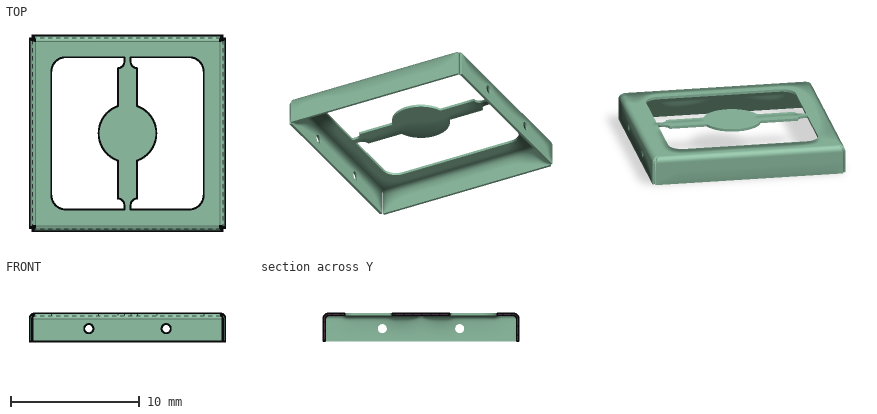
import cadquery as cq
import math

side = 15.2
height = 2.2
sheet = 0.2
bend_radius = 0.44
flap_inset = 0.23

opening = 11.8
opening_corner_radius = 1.11

pad_diameter = 4.5
arm_width = 1.5
neck_width = 0.5
neck_length = 0.84

hole_diameter = 0.7
hole_spacing = 6.0
hole_height = 1.0

half_side = side / 2
plate_side = side - 2 * bend_radius
half_plate = plate_side / 2
bend_start = height - bend_radius
plate_bottom = height - sheet
arc_45 = math.sqrt(0.5)


def make_plate():
    """Flat top with its rounded square opening."""
    plate = cq.Workplane("XY").workplane(offset=plate_bottom).rect(plate_side, plate_side).extrude(sheet)
    window = (
        cq.Workplane("XY").rect(opening, opening).extrude(height)
        .edges("|Z").fillet(opening_corner_radius)
    )
    return plate.cut(window)


def make_flap():
    """Front flap: a bent strip whose ends taper towards the plate corners along the fold."""
    inner_radius = bend_radius - sheet
    inner_face = -half_side + sheet
    strip = (
        cq.Workplane("YZ")
        .moveTo(-half_side, 0)
        .lineTo(-half_side, bend_start)
        .threePointArc(
            (-half_plate - bend_radius * arc_45, bend_start + bend_radius * arc_45),
            (-half_plate, height),
        )
        .lineTo(-half_plate, plate_bottom)
        .threePointArc(
            (-half_plate - inner_radius * arc_45, bend_start + inner_radius * arc_45),
            (inner_face, bend_start),
        )
        .lineTo(inner_face, 0)
        .close()
        .extrude(half_side, both=True)
    )
    half_flap = half_side - flap_inset
    half_mid_fold = (half_flap + half_plate) / 2
    mid_fold_height = bend_start + bend_radius * arc_45
    outline = (
        cq.Workplane("XZ")
        .moveTo(-half_flap, 0)
        .lineTo(half_flap, 0)
        .lineTo(half_flap, bend_start)
        .threePointArc((half_mid_fold, mid_fold_height), (half_plate, height))
        .lineTo(-half_plate, height)
        .threePointArc((-half_mid_fold, mid_fold_height), (-half_flap, bend_start))
        .close()
        .extrude(side, both=True)
    )
    return strip.intersect(outline)


def make_pad():
    """Round pad and two arms; each neck flares into its arm through quarter-round notches."""
    half_opening = opening / 2
    notch_radius = (arm_width - neck_width) / 2
    base = cq.Workplane("XY").workplane(offset=plate_bottom)
    pad = base.circle(pad_diameter / 2).extrude(sheet)
    pad = pad.union(base.rect(arm_width, opening).extrude(sheet))
    notch_end = half_opening - neck_length
    notch_center = notch_end + notch_radius
    for x_sign in (-1, 1):
        for y_sign in (-1, 1):
            notch = (
                base.moveTo(x_sign * arm_width / 2, y_sign * half_opening)
                .lineTo(x_sign * neck_width / 2, y_sign * half_opening)
                .lineTo(x_sign * neck_width / 2, y_sign * notch_center)
                .threePointArc(
                    (
                        x_sign * (arm_width / 2 - notch_radius * arc_45),
                        y_sign * (notch_center - notch_radius * arc_45),
                    ),
                    (x_sign * arm_width / 2, y_sign * notch_end),
                )
                .close()
                .extrude(sheet)
            )
            pad = pad.cut(notch)
    return pad


def make_pin_holes():
    """Pair of drill cylinders running through both the front and back flaps."""
    return (
        cq.Workplane("XZ")
        .pushPoints([(-hole_spacing / 2, hole_height), (hole_spacing / 2, hole_height)])
        .circle(hole_diameter / 2)
        .extrude(side, both=True)
    )


result = make_plate().union(make_pad())
front_flap = make_flap()
for quarter_turn in range(4):
    result = result.union(front_flap.rotate((0, 0, 0), (0, 0, 1), 90 * quarter_turn))
result = result.cut(make_pin_holes())